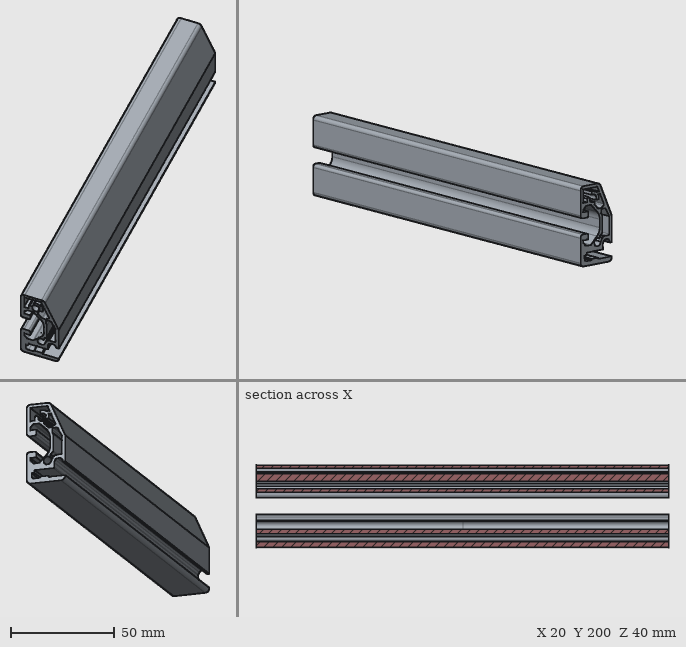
import cadquery as cq
import math

length = 200.0
width = 20.0
height = 40.0
half_height = height / 2
side_wall = 1.8
top_wall = 1.5
corner_radius = 2.0
right_inner_x = width - side_wall
top_inner_z = half_height - top_wall

slope_top_x = 12.2
slope_bottom_z = 2.5
slope_radius = 2.2
slope_wall = 2.0
slope_run_per_rise = (width - slope_top_x) / (half_height - slope_bottom_z)
slope_wall_x = slope_wall * math.hypot(1, slope_run_per_rise)

slot_half_opening = 4.0
slot_mouth_radius = 1.5
lip_tip_x = 5.0
lip_radius = 1.0
lip_inner_z = 7.0
undercut_chamfer = 1.8
slot_half_height = 10.0
slot_flat_end_x = 6.5
slot_floor_x = 12.2
slot_floor_radius = 5.5
slot_radius = 0.5

floor_wall = 1.5
diagonal_wall = 1.5
floor_back_x = slot_floor_x + floor_wall
diagonal_sum = slot_flat_end_x + slot_half_height + diagonal_wall * math.sqrt(2)

upper_port_x, upper_port_z = 8.0, 13.0
lower_port_x, lower_port_z = 10.8, -9.2
port_radius = 2.0

chamber_left_floor_z = 11.5
chamber_step_x = 9.0
chamber_step_z = 11.0
chamber_floor_z = 7.5
chamber_floor_end_x = 13.0
chamber_corner_z = 8.8
chamber_radius = 0.5

finger_left_x = 4.2
finger_right_x = 6.0
finger_tip_x = 5.0
finger_tip_z = 14.2
finger_shoulder_z = 13.5

hook_thickness = 1.5
hook_left_x = 7.2
hook_bottom_z = 12.0
web_left_x = 9.2
web_top_z = 15.8
web_bottom_z = 14.5

rear_top_z = 7.0
rear_bottom_z = -6.8
rear_shoulder_x = 13.2
rear_shoulder_z = 4.8
rear_radius = 0.8
floor_back_end_z = 3.8
passage_wall_x = 12.5
passage_right_x = 15.0
passage_top_z = -7.5
passage_upper_x = 12.2
passage_lower_x = 14.0

groove_left_x = 2.5
groove_top_z = -13.5
groove_nose_x = 3.8
groove_nose_z = -14.5
groove_nose_drop = 0.2
groove_nose_chamfer = 0.5
groove_radius = 1.5
block_right_x = 14.5
block_radius = 0.5
flange_top_z = -17.5
flange_end_radius = 2.2

skirt_end_z = -10.5
skirt_width = 1.2
recess_top_z = -8.5
recess_left_x = 15.2
recess_right_x = 17.8
recess_radius = 1.2
recess_corner_x = 14.2

pad_left_x = 6.8
pad_right_x = 11.5
pad_top_z = -17.0
pad_slant = 0.5

overlap = 0.8


def slope_inner_x(z):
    """X of the inner face of the sloping wall at height z."""
    return slope_top_x + (half_height - z) * slope_run_per_rise - slope_wall_x


def section(corners):
    """Extrude a closed polygon of (x, z, corner radius) along the full length."""
    outline = cq.Workplane("XZ")
    for i, (x, z, radius) in enumerate(corners):
        corner = cq.Vector(x, z)
        previous_x, previous_z, _ = corners[i - 1]
        next_x, next_z, _ = corners[(i + 1) % len(corners)]
        before = (cq.Vector(previous_x, previous_z) - corner).normalized()
        after = (cq.Vector(next_x, next_z) - corner).normalized()
        half_angle = before.getAngle(after) / 2
        setback = radius / math.tan(half_angle)
        bulge = radius / math.sin(half_angle) - radius
        entry = corner + before * setback
        middle = corner + (before + after).normalized() * bulge
        leave = corner + after * setback

        if i == 0:
            outline = outline.moveTo(entry.x, entry.y)
        else:
            outline = outline.lineTo(entry.x, entry.y)
        if radius > 0:
            outline = outline.threePointArc((middle.x, middle.y), (leave.x, leave.y))
    return outline.close().extrude(length / 2, both=True)


def rod(x, z, radius):
    """Full-length cylinder along Y."""
    return cq.Workplane("XZ").center(x, z).circle(radius).extrude(length / 2, both=True)


def body():
    """Outer shape, with a rounded mouth already cut where the T-slot opens."""
    mouth_depth = lip_tip_x - lip_radius
    return section([
        (0, -slot_half_opening, slot_mouth_radius),
        (mouth_depth, -slot_half_opening, 0),
        (mouth_depth, slot_half_opening, 0),
        (0, slot_half_opening, slot_mouth_radius),
        (0, half_height, corner_radius),
        (slope_top_x, half_height, slope_radius),
        (width, slope_bottom_z, 0),
        (width, -half_height, flange_end_radius),
        (0, -half_height, corner_radius),
    ])


def t_slot():
    slot_floor_half = slot_half_height - (slot_floor_x - slot_flat_end_x)
    upper = [
        (0, slot_half_opening, 0),
        (lip_tip_x, slot_half_opening, lip_radius),
        (lip_tip_x, lip_inner_z, 0),
        (side_wall, lip_inner_z, 0),
        (side_wall, slot_half_height - undercut_chamfer, slot_radius),
        (side_wall + undercut_chamfer, slot_half_height, slot_radius),
        (slot_flat_end_x, slot_half_height, slot_radius),
        (slot_floor_x, slot_floor_half, slot_floor_radius),
    ]
    lower = [(x, -z, radius) for x, z, radius in reversed(upper)]
    return section(upper + lower)


def hook():
    ring = rod(upper_port_x, upper_port_z, port_radius + hook_thickness)
    ring = ring.cut(rod(upper_port_x, upper_port_z, port_radius))
    hook_zone = section([
        (hook_left_x, top_inner_z, 0),
        (width, top_inner_z, 0),
        (width, hook_bottom_z, 0),
        (hook_left_x, hook_bottom_z, 0),
    ])
    web = section([
        (web_left_x, web_top_z, 0),
        (slope_inner_x(web_top_z) + overlap, web_top_z, 0),
        (slope_inner_x(web_bottom_z) + overlap, web_bottom_z, 0),
        (upper_port_x + port_radius + overlap, web_bottom_z, 0),
    ])
    return ring.intersect(hook_zone).union(web)


def upper_chamber():
    """Hollow left of and below the hook, opened up by the round screw port."""
    hollow = section([
        (side_wall, top_inner_z, 0),
        (slope_inner_x(top_inner_z), top_inner_z, 0),
        (slope_inner_x(chamber_corner_z), chamber_corner_z, chamber_radius),
        (chamber_floor_end_x, chamber_floor_z, chamber_radius),
        (diagonal_sum - chamber_floor_z, chamber_floor_z, chamber_radius),
        (chamber_step_x, diagonal_sum - chamber_step_x, 0),
        (chamber_step_x, chamber_step_z, 0),
        (upper_port_x, upper_port_z, 0),
        (finger_right_x, finger_shoulder_z, 0),
        (finger_tip_x, finger_tip_z, 0),
        (finger_left_x, finger_shoulder_z, 0),
        (finger_left_x, chamber_left_floor_z, 0),
        (side_wall, chamber_left_floor_z, 0),
    ])
    return hollow.union(rod(upper_port_x, upper_port_z, port_radius)).cut(hook())


def rear_chamber():
    """Hollow behind the T-slot, with a passage down into the lower screw port."""
    hollow = section([
        (rear_shoulder_x, rear_top_z, rear_radius),
        (slope_inner_x(rear_top_z), rear_top_z, rear_radius),
        (right_inner_x, slope_bottom_z, 0),
        (right_inner_x, rear_bottom_z, chamber_radius),
        (passage_right_x, rear_bottom_z, 0),
        (passage_lower_x, passage_top_z, 0),
        (lower_port_x + port_radius, lower_port_z, 0),
        (lower_port_x, lower_port_z, 0),
        (passage_upper_x, passage_top_z, 0),
        (passage_wall_x, passage_wall_x - diagonal_sum, 0),
        (floor_back_x, floor_back_x - diagonal_sum, slot_radius),
        (floor_back_x, floor_back_end_z, slot_radius),
        (rear_shoulder_x, rear_shoulder_z, 0),
    ])
    return hollow.union(rod(lower_port_x, lower_port_z, port_radius))


def side_groove():
    """Groove open to the right face, with the recess under the right wall."""
    return section([
        (width, flange_top_z, 0),
        (width, skirt_end_z, 0),
        (width - skirt_width, skirt_end_z, 0),
        (recess_right_x, recess_top_z, recess_radius),
        (recess_left_x, recess_top_z, recess_radius),
        (recess_corner_x, skirt_end_z, block_radius),
        (block_right_x, groove_top_z, block_radius),
        (groove_nose_x + groove_nose_chamfer, groove_top_z, 0),
        (groove_nose_x, groove_nose_z, 0),
        (groove_left_x, groove_nose_z - groove_nose_drop, 0),
        (groove_left_x, flange_top_z, groove_radius),
    ])


def flange_pad():
    return section([
        (pad_left_x, flange_top_z - overlap, 0),
        (pad_left_x, flange_top_z, 0),
        (pad_left_x + pad_slant, pad_top_z, 0),
        (pad_right_x - pad_slant, pad_top_z, 0),
        (pad_right_x, flange_top_z, 0),
        (pad_right_x, flange_top_z - overlap, 0),
    ])


result = body()
for hollow_shape in (t_slot(), upper_chamber(), rear_chamber(), side_groove()):
    result = result.cut(hollow_shape)
result = result.union(flange_pad())